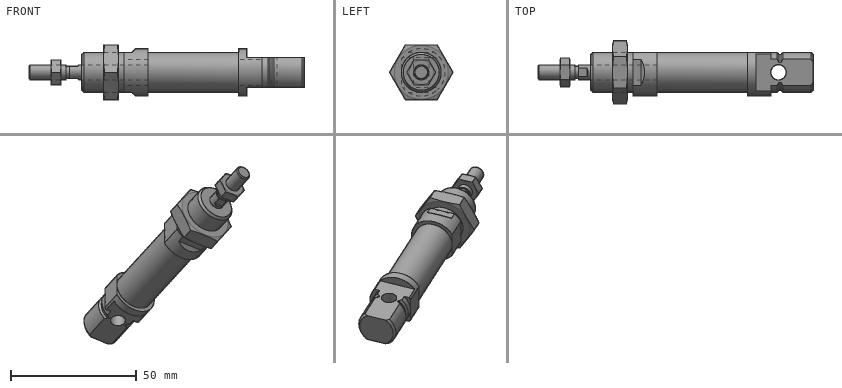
import cadquery as cq
import math


thread_d = 16.0
collar_d = 19.0
rod_d = 6.0
side_flat_y = thread_d / 2

rod_nut_x = 8.8
rod_thread_end = 14.7
wrench_start = 16.1
nose_x = 21.0
mount_nut_x = 29.7
front_collar_x = 38.0
barrel_start = 47.5
barrel_end = 83.7
tongue_flat_start = 87.0
rear_collar_end = 93.0
total_length = 110.0

rod_tip_d = 5.1
rod_tip_chamfer = 0.4
neck_d = 5.0
wrench_across_flats = 5.1
wrench_flat_length = 3.4

rod_nut_across_flats = 10.0
rod_nut_thickness = 4.0
mount_nut_across_flats = 22.0
mount_nut_thickness = 6.0
nut_face_ratio = 0.98
nut_chamfer_angle = 15.0

nose_d = 14.3
nose_chamfer = 1.0
front_flat_length = 3.1
front_across_flats = thread_d

tongue_thickness = 12.0
pivot_hole_d = 6.0
pivot_hole_x = 96.0
groove_d = 14.4
groove_floor_start = 96.2
groove_floor_width = 0.8
end_d = nose_d
end_chamfer = nose_chamfer


def revolve_profile(points):
    """Turn a list of (x, radius) points around the X axis."""
    return cq.Workplane("XY").polyline(points).close().revolve(360, (0, 0, 0), (1, 0, 0))


def cylinder_x(x_start, x_end, diameter):
    return cq.Workplane("YZ").workplane(offset=x_start).circle(diameter / 2).extrude(x_end - x_start)


def box_between(x_start, x_end, y_start, y_end, z_start, z_end):
    size = (x_end - x_start, y_end - y_start, z_end - z_start)
    return cq.Workplane("XY").box(*size, centered=False).translate((x_start, y_start, z_start))


def cut_wrench_flats(body, x_start, level_length, across_flats, diameter):
    """Cut flats on +Z and -Z that run out at 45 degrees to the given diameter."""
    flat_z = across_flats / 2
    outer_z = diameter
    level_end = x_start + level_length
    pocket = (
        cq.Workplane("XZ")
        .polyline([
            (x_start, flat_z),
            (level_end, flat_z),
            (level_end + outer_z - flat_z, outer_z),
            (x_start, outer_z),
        ])
        .close()
        .extrude(diameter / 2, both=True)
    )
    return body.cut(pocket).cut(pocket.mirror("XY"))


def cut_side_flat(body, x_start, x_end):
    """Trim a collar on the +Y side so that it is flush with the barrel."""
    return body.cut(box_between(x_start, x_end, side_flat_y, collar_d, -collar_d, collar_d))


def make_hex_nut(x_start, thickness, across_flats, bore_d):
    """Hex nut with flats facing +Z and -Z and conical chamfers on both faces."""
    corner_d = across_flats / math.cos(math.pi / 6)
    face_r = across_flats * nut_face_ratio / 2
    corner_r = corner_d / 2
    chamfer = (corner_r - face_r) * math.tan(math.radians(nut_chamfer_angle))
    x_end = x_start + thickness
    prism = cq.Workplane("YZ").workplane(offset=x_start).polygon(6, corner_d).extrude(thickness)
    envelope = revolve_profile([
        (x_start, 0),
        (x_start, face_r),
        (x_start + chamfer, corner_r),
        (x_end - chamfer, corner_r),
        (x_end, face_r),
        (x_end, 0),
    ])
    return prism.intersect(envelope).cut(cylinder_x(x_start, x_end, bore_d))


def make_rod():
    """Piston rod: threaded tip, neck and wrench flats, reaching through the front cap."""
    rod = revolve_profile([
        (0, 0),
        (0, rod_tip_d / 2),
        (rod_tip_chamfer, rod_d / 2),
        (rod_thread_end, rod_d / 2),
        (rod_thread_end, neck_d / 2),
        (wrench_start, neck_d / 2),
        (wrench_start, rod_d / 2),
        (barrel_start, rod_d / 2),
        (barrel_start, 0),
    ])
    return cut_wrench_flats(rod, wrench_start, wrench_flat_length, wrench_across_flats, rod_d)


def make_front_cap():
    """Front cap: mounting thread with chamfered nose, collar with wrench flats, rod bore."""
    cap = revolve_profile([
        (nose_x, 0),
        (nose_x, nose_d / 2),
        (nose_x + nose_chamfer, thread_d / 2),
        (front_collar_x, thread_d / 2),
        (front_collar_x, collar_d / 2),
        (barrel_start, collar_d / 2),
        (barrel_start, 0),
    ])
    cap = cut_wrench_flats(cap, front_collar_x, front_flat_length, front_across_flats, collar_d)
    cap = cut_side_flat(cap, front_collar_x, barrel_start)
    return cap.cut(cylinder_x(nose_x, barrel_start, rod_d))


def make_barrel():
    return cylinder_x(barrel_start, barrel_end, thread_d)


def make_rear_cap():
    """Rear cap: collar and flat-sided tongue with a bevelled groove and a vertical pivot hole."""
    groove_depth = (thread_d - groove_d) / 2
    groove_floor_end = groove_floor_start + groove_floor_width
    cap = revolve_profile([
        (barrel_end, 0),
        (barrel_end, collar_d / 2),
        (rear_collar_end, collar_d / 2),
        (rear_collar_end, thread_d / 2),
        (groove_floor_start - groove_depth, thread_d / 2),
        (groove_floor_start, groove_d / 2),
        (groove_floor_end, groove_d / 2),
        (groove_floor_end + groove_depth, thread_d / 2),
        (total_length - end_chamfer, thread_d / 2),
        (total_length, end_d / 2),
        (total_length, 0),
    ])
    cap = cut_side_flat(cap, barrel_end, rear_collar_end)
    above_tongue = box_between(
        tongue_flat_start, total_length, -collar_d, collar_d, tongue_thickness / 2, collar_d
    )
    cap = cap.cut(above_tongue).cut(above_tongue.mirror("XY"))
    pivot_hole = (
        cq.Workplane("XY")
        .center(pivot_hole_x, 0)
        .circle(pivot_hole_d / 2)
        .extrude(tongue_thickness, both=True)
    )
    return cap.cut(pivot_hole)


rod = make_rod()
rod_nut = make_hex_nut(rod_nut_x, rod_nut_thickness, rod_nut_across_flats, rod_d)
front_cap = make_front_cap()
mount_nut = make_hex_nut(mount_nut_x, mount_nut_thickness, mount_nut_across_flats, thread_d)
barrel = make_barrel()
rear_cap = make_rear_cap()

result = cq.Compound.makeCompound([
    rod.val(),
    rod_nut.val(),
    front_cap.val(),
    mount_nut.val(),
    barrel.val(),
    rear_cap.val(),
])